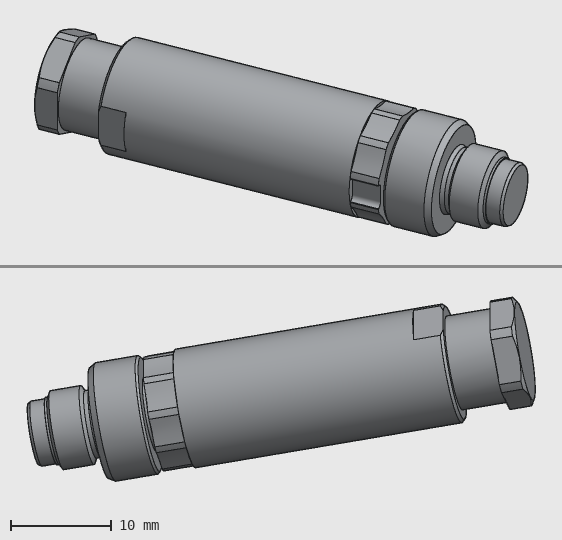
import cadquery as cq
import math


nut_length = 2.5
nut_side_count = 6
nut_across_flats = 10.0
nut_face_diameter = 9.9
nut_corner_diameter = 11.0
nut_chamfer_angle = 30.0

neck_diameter = 9.5
neck_end = 7.15

housing_diameter = 12.0
housing_end = 34.5
housing_chamfer = 0.3
wrench_across_flats = 11.0
wrench_flat_length = 3.0

ring_end = 37.5
ring_diameter = 11.9
flute_count = 10
tooth_width_angle = 7.2
flute_floor_radius = 5.65

slot_width = 2.8
slot_floor_radius = 5.2
slot_corner_radius = 0.5

shoulder_large_diameter = 8.0
shoulder_small_diameter = 7.5
shoulder_length = 0.2
collar_start = 38.05
collar_end = 43.2
collar_diameter = 12.0
collar_rear_chamfer = 0.25
collar_front_chamfer = 0.65
lead_in_angle = 30.0

groove_diameter = 6.85
groove_mouth_diameter = 7.2
groove_taper_end = 43.65
sleeve_start = 44.1
sleeve_end = 47.85
sleeve_diameter = 8.0
sleeve_chamfer_angle = 60.0
tip_start = 48.1
tip_diameter = 6.6
tip_chamfer = 0.3
total_length = 49.9


def turned(stations):
    """Solid of revolution about the X axis through (position, diameter) stations."""
    outline = [(position, diameter / 2) for position, diameter in stations]
    return (
        cq.Workplane("XY")
        .moveTo(stations[0][0], 0)
        .polyline(outline, includeCurrent=True)
        .lineTo(stations[-1][0], 0)
        .close()
        .revolve(360, (0, 0, 0), (1, 0, 0))
    )


def make_nut():
    """Hexagon with flats facing +-Y, turned-off corners and a chamfered outer face."""
    hexagon_half_angle = 180 / nut_side_count
    hexagon = (
        cq.Workplane("YZ")
        .polygon(nut_side_count, nut_across_flats / math.cos(math.radians(hexagon_half_angle)))
        .extrude(nut_length)
        .rotate((0, 0, 0), (1, 0, 0), hexagon_half_angle)
    )
    chamfer_depth = (nut_corner_diameter - nut_face_diameter) / 2
    chamfer_length = chamfer_depth * math.tan(math.radians(nut_chamfer_angle))
    turned_blank = turned(
        [
            (0, nut_face_diameter),
            (chamfer_length, nut_corner_diameter),
            (nut_length, nut_corner_diameter),
        ]
    )
    return hexagon.intersect(turned_blank)


def make_shaft():
    """All turned sections from the neck to the tip, as one revolved body."""
    collar_front_drop = 2 * collar_front_chamfer * math.tan(math.radians(lead_in_angle))
    tip_drop = 2 * tip_chamfer * math.tan(math.radians(lead_in_angle))
    sleeve_height = (sleeve_diameter - groove_diameter) / 2
    sleeve_chamfer = sleeve_height / math.tan(math.radians(sleeve_chamfer_angle))
    return turned(
        [
            (nut_length, neck_diameter),
            (neck_end, neck_diameter),
            (neck_end, housing_diameter - 2 * housing_chamfer),
            (neck_end + housing_chamfer, housing_diameter),
            (housing_end, housing_diameter),
            (housing_end, ring_diameter),
            (ring_end, ring_diameter),
            (ring_end, shoulder_large_diameter),
            (ring_end + shoulder_length, shoulder_small_diameter),
            (collar_start, shoulder_small_diameter),
            (collar_start, collar_diameter - 2 * collar_rear_chamfer),
            (collar_start + collar_rear_chamfer, collar_diameter),
            (collar_end - collar_front_chamfer, collar_diameter),
            (collar_end, collar_diameter - collar_front_drop),
            (collar_end, groove_mouth_diameter),
            (groove_taper_end, groove_diameter),
            (sleeve_start, groove_diameter),
            (sleeve_start + sleeve_chamfer, sleeve_diameter),
            (sleeve_end - sleeve_chamfer, sleeve_diameter),
            (sleeve_end, groove_diameter),
            (tip_start, groove_diameter),
            (tip_start, tip_diameter),
            (total_length - tip_chamfer, tip_diameter),
            (total_length, tip_diameter - tip_drop),
        ]
    )


def cut_wrench_flats(body):
    """Cut two flats facing +-Y at the rear end of the housing."""
    cut_depth = (housing_diameter - wrench_across_flats) / 2
    for side in (-1, 1):
        cutter = cq.Workplane("XY").box(wrench_flat_length, cut_depth, housing_diameter)
        body = body.cut(
            cutter.translate(
                (neck_end + wrench_flat_length / 2, side * (wrench_across_flats + cut_depth) / 2, 0)
            )
        )
    return body


def ring_point(radius, angle):
    """Point in the YZ plane at an angle measured from +Z."""
    return (radius * math.sin(math.radians(angle)), radius * math.cos(math.radians(angle)))


def make_flute_cutter(middle):
    """Cutter for one shallow concave flute centred on the given angle."""
    edge_radius = ring_diameter / 2
    clearance_radius = ring_diameter
    half_flute = (360 / flute_count - tooth_width_angle) / 2
    return (
        cq.Workplane("YZ", origin=(housing_end, 0, 0))
        .moveTo(*ring_point(clearance_radius, middle - half_flute))
        .lineTo(*ring_point(edge_radius, middle - half_flute))
        .threePointArc(
            ring_point(flute_floor_radius, middle),
            ring_point(edge_radius, middle + half_flute),
        )
        .lineTo(*ring_point(clearance_radius, middle + half_flute))
        .close()
        .extrude(ring_end - housing_end)
    )


def cut_grip_ring(body):
    """Cut flutes all around the ring, leaving one tooth at +Z."""
    pitch = 360 / flute_count
    for index in range(flute_count):
        body = body.cut(make_flute_cutter((index + 0.5) * pitch))
    return body


def cut_index_slot(body):
    """Deepen the flute facing -Y into a flat-floored slot with rounded inner corners."""
    slot_depth = ring_diameter - 2 * slot_floor_radius
    slot = (
        cq.Workplane("XY")
        .box(ring_end - housing_end, slot_depth, slot_width)
        .edges("|X and >Y")
        .fillet(slot_corner_radius)
        .translate(((housing_end + ring_end) / 2, -slot_floor_radius - slot_depth / 2, 0))
    )
    return body.cut(slot)


shaft = cut_index_slot(cut_grip_ring(cut_wrench_flats(make_shaft())))
result = shaft.union(make_nut())